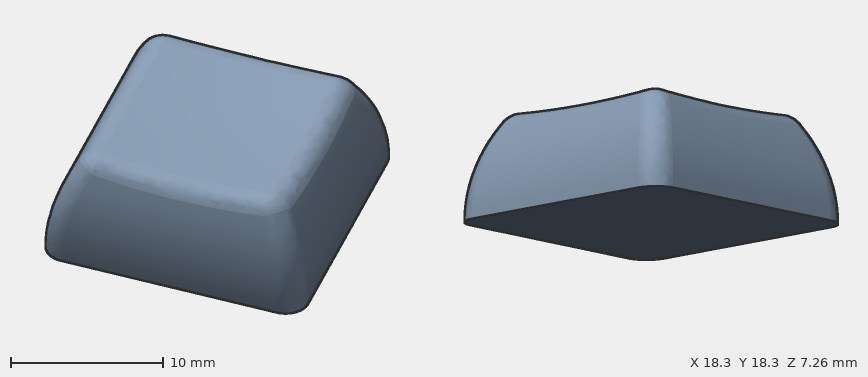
import cadquery as cq
import math

base_width = 18.29
side_radius = 12.8
edge_radius = 1.6
dish_radius = 69.5
dish_bottom = 6.75
blank_height = 9.15
base_margin = 0.18

half_width = base_width / 2
wall_centre = half_width - side_radius


def wall_offset(height):
    """Distance of a side wall from the centre plane at a height."""
    return wall_centre + math.sqrt(side_radius**2 - height**2)


def arched_bar(plane):
    """Bar across the part with a pair of opposite curved walls."""
    top = wall_offset(blank_height)
    middle = wall_offset(blank_height / 2)
    return (
        cq.Workplane(plane)
        .moveTo(-half_width, 0)
        .lineTo(half_width, 0)
        .threePointArc((middle, blank_height / 2), (top, blank_height))
        .lineTo(-top, blank_height)
        .threePointArc((-middle, blank_height / 2), (-half_width, 0))
        .close()
        .extrude(half_width, both=True)
    )


body = arched_bar("XZ").intersect(arched_bar("YZ"))
dish = cq.Workplane("XY").sphere(dish_radius).translate((0, 0, dish_bottom + dish_radius))
body = body.cut(dish)

base_edges = cq.selectors.BoxSelector(
    (-base_width, -base_width, -base_margin),
    (base_width, base_width, base_margin),
)
result = body.edges(cq.selectors.InverseSelector(base_edges)).fillet(edge_radius)